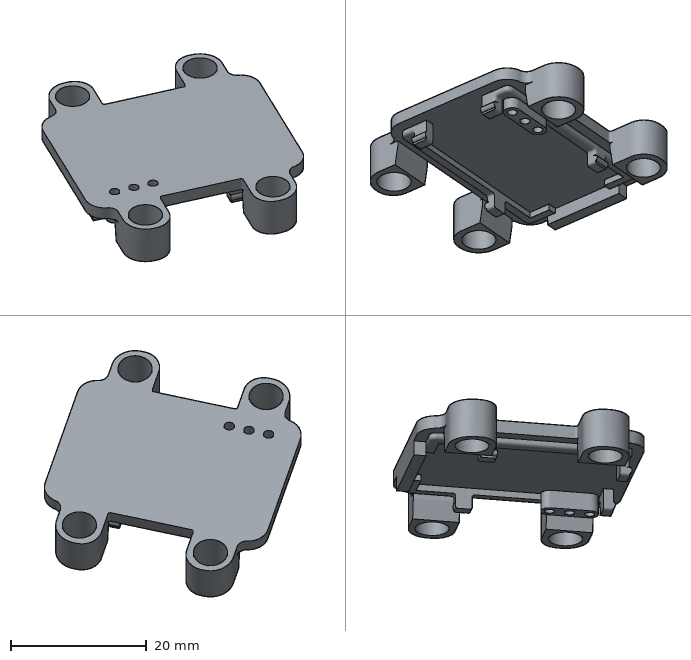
import cadquery as cq
import math

LENGTH_X = 38.0
LENGTH_Y = 34.0
HEIGHT = 6.0

PLATE_WIDTH = 24.0
PLATE_THICKNESS = 2.0
PLATE_CORNER_RADIUS = 3.0
NECK_FILLET_RADIUS = 1.5
INNER_FILLET_RADIUS = 0.38

LUG_WIDTH = 7.0
LUG_OUTER_RADIUS = 3.5
LUG_INNER_RADIUS = 3.0
LUG_HOLE_DIAMETER = 5.0
LUG_HOLE_X = 15.5
LUG_HOLE_Y = 10.0
LUG_STRAIGHT_DEPTH = 1.0
LUG_TAPER = 0.5

RIM_LENGTH_X = 20.6
RIM_LENGTH_Y = 30.4
RIM_DEPTH = 1.03
RIM_WALL = 1.52
RIM_CORNER_RADIUS = 1.03
RIM_EDGE_RADIUS = 0.45
RIM_OPENING = 10.4

TAB_LENGTH = 2.55
TAB_DEPTH = 3.4
TAB_HEAD_DEPTH = 1.98
TAB_ROOT_RADIUS = 0.38
TAB_TIP_RADIUS = 0.38
BUMP_HEIGHT = 1.03
BUMP_DEPTH = 0.3
SIDE_TAB_START = 5.25

BLOCK_OVERLAP = 1.52
BLOCK_DEPTH = 2.25

WIRE_HOLE_DIAMETER = 1.5
WIRE_HOLE_PITCH = 3.0
WIRE_HOLE_X = 8.6
WIRE_HOLE_Y = -9.27
WIRE_HOLE_COUNT = 3
BOSS_RADIUS = 1.3
BOSS_DEPTH = 2.8

PLATE_BOTTOM = HEIGHT - PLATE_THICKNESS
HALF_PLATE = PLATE_WIDTH / 2
HALF_X = LENGTH_X / 2
HALF_Y = LENGTH_Y / 2
LUG_OUTER_Y = LUG_HOLE_Y + LUG_WIDTH / 2
LUG_INNER_Y = LUG_HOLE_Y - LUG_WIDTH / 2
TAB_HEAD_TOP = PLATE_BOTTOM - TAB_HEAD_DEPTH
TAB_TIP = PLATE_BOTTOM - TAB_DEPTH
RIM_BOTTOM = PLATE_BOTTOM - RIM_DEPTH
HALF_RIM_X = RIM_LENGTH_X / 2
HALF_RIM_Y = RIM_LENGTH_Y / 2
HALF_OPENING = RIM_OPENING / 2
FRONT_TAB_END = HALF_OPENING + TAB_LENGTH
SIDE_TAB_END = SIDE_TAB_START + TAB_LENGTH
BLOCK_LENGTH = RIM_OPENING + 2 * BLOCK_OVERLAP


def four_corners(quarter):
    """Copy a solid from the +X +Y corner to all four corners."""
    half = quarter.union(quarter.mirror("YZ"))
    return half.union(half.mirror("XZ"))


def quarter_plate():
    """One quarter of the plate and lug, with tangent arcs around the lug."""
    corner_x = HALF_PLATE - PLATE_CORNER_RADIUS
    corner_y = HALF_Y - PLATE_CORNER_RADIUS
    reach = PLATE_CORNER_RADIUS + NECK_FILLET_RADIUS
    neck_y = LUG_OUTER_Y + NECK_FILLET_RADIUS
    neck_x = corner_x + math.sqrt(reach**2 - (neck_y - corner_y) ** 2)
    share = PLATE_CORNER_RADIUS / reach
    touch = (corner_x + share * (neck_x - corner_x), corner_y + share * (neck_y - corner_y))
    return (
        cq.Workplane("XY", origin=(0, 0, PLATE_BOTTOM))
        .lineTo(HALF_PLATE, 0)
        .lineTo(HALF_PLATE, LUG_INNER_Y - INNER_FILLET_RADIUS)
        .radiusArc((HALF_PLATE + INNER_FILLET_RADIUS, LUG_INNER_Y), INNER_FILLET_RADIUS)
        .lineTo(HALF_X - LUG_INNER_RADIUS, LUG_INNER_Y)
        .radiusArc((HALF_X, LUG_INNER_Y + LUG_INNER_RADIUS), -LUG_INNER_RADIUS)
        .lineTo(HALF_X, LUG_OUTER_Y - LUG_OUTER_RADIUS)
        .radiusArc((HALF_X - LUG_OUTER_RADIUS, LUG_OUTER_Y), -LUG_OUTER_RADIUS)
        .lineTo(neck_x, LUG_OUTER_Y)
        .radiusArc(touch, NECK_FILLET_RADIUS)
        .radiusArc((corner_x, HALF_Y), -PLATE_CORNER_RADIUS)
        .lineTo(0, HALF_Y)
        .close()
        .extrude(PLATE_THICKNESS)
    )


def quarter_lug():
    """The part of one lug below the plate, with its leaning inner wall."""
    profile = (
        cq.Workplane("XZ", origin=(0, LUG_OUTER_Y, 0))
        .moveTo(HALF_X, 0)
        .lineTo(HALF_PLATE + LUG_TAPER, 0)
        .lineTo(HALF_PLATE, PLATE_BOTTOM - LUG_STRAIGHT_DEPTH)
        .lineTo(HALF_PLATE, PLATE_BOTTOM)
        .lineTo(HALF_X, PLATE_BOTTOM)
        .close()
        .extrude(LUG_WIDTH)
    )
    return (
        profile.edges("|Z and >X and >Y").fillet(LUG_OUTER_RADIUS)
        .edges("|Z and >X and <Y").fillet(LUG_INNER_RADIUS)
    )


def box_between(low, high):
    """Box from its lowest corner to its highest corner."""
    size = [b - a for a, b in zip(low, high)]
    return cq.Workplane("XY").box(*size, centered=False).translate(low)


def snap_head(start):
    """Tip of a snap tab lying along X, with its rounded bump facing -Y from the plane Y = 0."""
    bar = box_between((start, 0, TAB_TIP), (start + TAB_LENGTH, RIM_WALL, TAB_HEAD_TOP))
    bar = bar.edges("|Y and <Z").fillet(TAB_TIP_RADIUS)
    bump = (
        cq.Workplane("YZ", origin=(start, 0, 0))
        .moveTo(0, TAB_HEAD_TOP)
        .threePointArc((-BUMP_DEPTH, TAB_HEAD_TOP - BUMP_HEIGHT / 2), (0, TAB_HEAD_TOP - BUMP_HEIGHT))
        .close()
        .extrude(TAB_LENGTH)
    )
    return bar.union(bump)


def square_rim():
    """Rim wall before rounding its lower edges, open at both Y ends."""
    wall = (
        cq.Workplane("XY", origin=(0, 0, RIM_BOTTOM))
        .rect(RIM_LENGTH_X, RIM_LENGTH_Y)
        .extrude(RIM_DEPTH)
        .edges("|Z").fillet(RIM_CORNER_RADIUS)
    )
    inside = (
        cq.Workplane("XY", origin=(0, 0, RIM_BOTTOM))
        .rect(RIM_LENGTH_X - 2 * RIM_WALL, RIM_LENGTH_Y - 2 * RIM_WALL)
        .extrude(RIM_DEPTH)
    )
    openings = (
        cq.Workplane("XY", origin=(0, 0, RIM_BOTTOM))
        .rect(RIM_OPENING, RIM_LENGTH_Y)
        .extrude(RIM_DEPTH)
    )
    return wall.cut(inside).cut(openings)


def tab_roots():
    """Upper part of the four snap tabs: two at the -Y end, one on each X side."""
    front_root = box_between(
        (HALF_OPENING, -HALF_RIM_Y, TAB_HEAD_TOP),
        (FRONT_TAB_END, RIM_WALL - HALF_RIM_Y, PLATE_BOTTOM),
    )
    side_root = box_between(
        (HALF_RIM_X - RIM_WALL, SIDE_TAB_START, TAB_HEAD_TOP),
        (HALF_RIM_X, SIDE_TAB_END, PLATE_BOTTOM),
    )
    right = front_root.union(side_root)
    return right.union(right.mirror("YZ"))


def fillet_nearest(body, point, radius):
    """Round the edge whose middle is nearest to a point, with any edges tangent to it."""
    return body.edges(cq.selectors.NearestToPointSelector(point)).fillet(radius)


def rim():
    """Rim wall with the tab roots, rounded along its lower outer edge."""
    body = square_rim().union(tab_roots())
    wall_middle_x = HALF_RIM_X - RIM_WALL / 2
    wall_middle_y = HALF_RIM_Y - RIM_WALL / 2
    for side in (-1, 1):
        for x, y in (
            (FRONT_TAB_END, -wall_middle_y),
            (wall_middle_x, SIDE_TAB_START),
            (wall_middle_x, SIDE_TAB_END),
        ):
            body = fillet_nearest(body, (side * x, y, RIM_BOTTOM), TAB_ROOT_RADIUS)
        front_middle = (SIDE_TAB_START - HALF_RIM_Y) / 2
        back_middle = (SIDE_TAB_END + HALF_RIM_Y) / 2
        for y in (front_middle, back_middle):
            body = fillet_nearest(body, (side * HALF_RIM_X, y, RIM_BOTTOM), RIM_EDGE_RADIUS)
    return body


def snap_heads():
    """Tips of the four snap tabs."""
    front = snap_head(HALF_OPENING).translate((0, -HALF_RIM_Y, 0))
    side = snap_head(SIDE_TAB_START).rotate((0, 0, 0), (0, 0, 1), 90).translate((HALF_RIM_X, 0, 0))
    right = front.union(side)
    return right.union(right.mirror("YZ"))


def end_block():
    """Block outside the +Y end of the rim, flush with the plate edge."""
    return box_between(
        (-BLOCK_LENGTH / 2, HALF_RIM_Y, PLATE_BOTTOM - BLOCK_DEPTH),
        (BLOCK_LENGTH / 2, HALF_Y, PLATE_BOTTOM),
    )


def wire_boss():
    """Round-ended boss under the plate around the row of wire holes."""
    row_length = WIRE_HOLE_PITCH * (WIRE_HOLE_COUNT - 1)
    return (
        cq.Workplane("XY", origin=(WIRE_HOLE_X, WIRE_HOLE_Y, PLATE_BOTTOM - BOSS_DEPTH))
        .slot2D(row_length + 2 * BOSS_RADIUS, 2 * BOSS_RADIUS, 90)
        .extrude(BOSS_DEPTH)
    )


def wire_holes():
    """Row of holes through the plate and the boss."""
    return (
        cq.Workplane("XY", origin=(WIRE_HOLE_X, WIRE_HOLE_Y, 0))
        .rarray(0.38, WIRE_HOLE_PITCH, 1, WIRE_HOLE_COUNT)
        .circle(WIRE_HOLE_DIAMETER / 2)
        .extrude(HEIGHT)
    )


def lug_holes():
    """Screw holes through the four lugs."""
    return (
        cq.Workplane("XY")
        .rarray(2 * LUG_HOLE_X, 2 * LUG_HOLE_Y, 2, 2)
        .circle(LUG_HOLE_DIAMETER / 2)
        .extrude(HEIGHT)
    )


result = four_corners(quarter_plate().union(quarter_lug()))
for feature in (rim(), snap_heads(), end_block(), wire_boss()):
    result = result.union(feature)
result = result.cut(wire_holes()).cut(lug_holes())